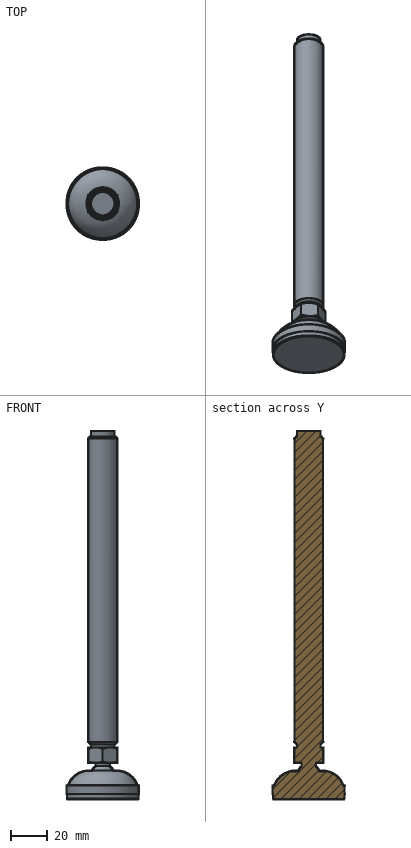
import cadquery as cq
import math

total_height = 203.2
foot_radius = 40.0 / 2
stud_radius = 16.0 / 2

pad_radius = 19.81
pad_height = 3.0
pad_chamfer = 0.5
rim_height = 7.5
dome_base_radius = 19.0
dome_base_height = 8.0
dome_top_radius = 9.0
dome_top = 15.8
dome_bulge = 1.8

neck_radius = 8.1 / 2
ball_radius = 13.0 / 2
ball_top = 18.3
recess_depth = 0.5

hex_across_flats = 16.0
hex_bottom = 20.1
hex_top = 28.7
hex_chamfer_angle = 30.0

relief_radius = 13.2 / 2
tip_radius = 13.0 / 2
tip_length = 3.0
top_chamfer = 1.0
stud_bottom = 30.3


def revolve_profile(profile):
    """Turn an X-Z half profile around the Z axis."""
    return profile.close().revolve(360, (0, 0, 0), (0, 1, 0))


def make_foot():
    run = dome_base_radius - dome_top_radius
    rise = dome_top - dome_base_height
    chord = math.hypot(run, rise)
    dome_mid = (
        (dome_base_radius + dome_top_radius) / 2 + dome_bulge * rise / chord,
        (dome_base_height + dome_top) / 2 + dome_bulge * run / chord,
    )
    ball_center = ball_top - math.sqrt(ball_radius**2 - neck_radius**2)
    recess_floor = dome_top - recess_depth
    ball_mid_height = (recess_floor + ball_top) / 2

    def ball_point(height):
        return (math.sqrt(ball_radius**2 - (height - ball_center) ** 2), height)

    return revolve_profile(
        cq.Workplane("XZ")
        .moveTo(0, 0)
        .lineTo(pad_radius - pad_chamfer, 0)
        .lineTo(pad_radius, pad_chamfer)
        .lineTo(pad_radius, pad_height)
        .lineTo(foot_radius, pad_height)
        .lineTo(foot_radius, rim_height)
        .lineTo(dome_base_radius, dome_base_height)
        .threePointArc(dome_mid, (dome_top_radius, dome_top))
        .lineTo(dome_top_radius, recess_floor)
        .lineTo(*ball_point(recess_floor))
        .threePointArc(ball_point(ball_mid_height), (neck_radius, ball_top))
        .lineTo(neck_radius, hex_bottom)
        .lineTo(0, hex_bottom)
    )


def make_hexagon():
    flat_radius = hex_across_flats / 2
    corner_radius = flat_radius / math.cos(math.radians(30))
    chamfer_height = (corner_radius - flat_radius) * math.tan(math.radians(hex_chamfer_angle))
    prism = (
        cq.Workplane("XY", origin=(0, 0, hex_bottom))
        .polygon(6, 2 * corner_radius)
        .extrude(hex_top - hex_bottom)
        .rotate((0, 0, 0), (0, 0, 1), 30)
    )
    envelope = revolve_profile(
        cq.Workplane("XZ")
        .moveTo(0, hex_bottom)
        .lineTo(flat_radius, hex_bottom)
        .lineTo(corner_radius, hex_bottom + chamfer_height)
        .lineTo(corner_radius, hex_top - chamfer_height)
        .lineTo(flat_radius, hex_top)
        .lineTo(0, hex_top)
    )
    return prism.intersect(envelope)


def make_stud():
    bottom_chamfer_size = stud_radius - relief_radius
    shoulder = total_height - tip_length
    return revolve_profile(
        cq.Workplane("XZ")
        .moveTo(0, hex_top)
        .lineTo(relief_radius, hex_top)
        .lineTo(relief_radius, stud_bottom)
        .lineTo(stud_radius, stud_bottom + bottom_chamfer_size)
        .lineTo(stud_radius, shoulder - top_chamfer)
        .lineTo(stud_radius - top_chamfer, shoulder)
        .lineTo(tip_radius, shoulder)
        .lineTo(tip_radius, total_height)
        .lineTo(0, total_height)
    )


result = make_foot().union(make_hexagon()).union(make_stud())